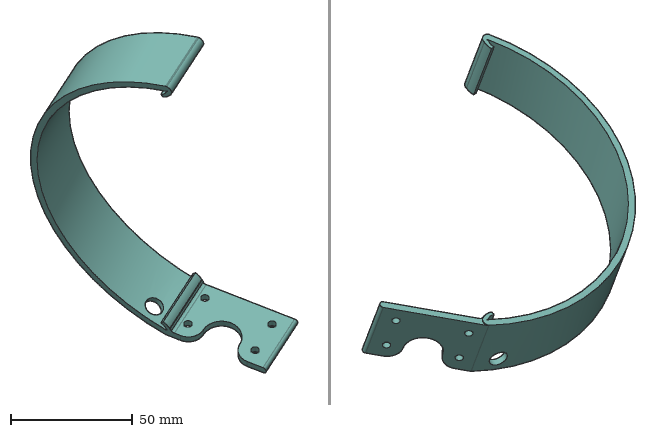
import cadquery as cq
import math

height = 161.8
band_width = 29.5
strap_thickness = 3.0
strap_end_x = 62.6

mid_z = height / 2
outer_radius = (strap_end_x**2 + mid_z**2) / (2 * strap_end_x)
inner_radius = outer_radius - strap_thickness
end_angle = math.asin(mid_z / outer_radius)
inner_end_x = outer_radius - inner_radius * math.cos(end_angle)
inner_end_rise = inner_radius * math.sin(end_angle)

hook_crest_x = 63.1
hook_outer_mid = (65.4, 2.8)
hook_outer_low = (64.5, 4.9)
hook_outer_bend = (63.6, 6.1)
hook_outer_tip = (61.5, 7.8)
hook_inner_tip = (60.4, 6.5)
hook_inner_mid = (62.3, 4.9)
hook_inner_top = (62.8, 3.5)

plate_end_x = 109.0
plate_width = 29.1
plate_thickness = 3.2
plate_edge_fillet = 1.5
hook_foot_fillet = 2.1
fillet_sag = 1 - math.sqrt(0.5)

hole_diameter = 3.4
hole_spacing_x = 31.0
hole_spacing_y = 15.5
notch_x = 85.0
notch_radius = 8.4
shoulder_radius = 7.0

strap_hole_diameter = 8.0
strap_hole_y = 7.0
strap_hole_z = 3.2
drill_reach = 4.9


def half_strap():
    """Lower half of the strap with its hook, from mid height to the end face."""
    mid_angle = end_angle / 2

    def arc_point(radius, angle):
        return (outer_radius - radius * math.cos(angle), mid_z - radius * math.sin(angle))

    return (
        cq.Workplane("XZ")
        .moveTo(0, mid_z)
        .threePointArc(arc_point(outer_radius, mid_angle), (strap_end_x, 0))
        .lineTo(hook_crest_x, 0)
        .threePointArc(hook_outer_mid, hook_outer_low)
        .threePointArc(hook_outer_bend, hook_outer_tip)
        .lineTo(*hook_inner_tip)
        .threePointArc(hook_inner_mid, hook_inner_top)
        .lineTo(inner_end_x, mid_z - inner_end_rise)
        .threePointArc(arc_point(inner_radius, mid_angle), (strap_thickness, mid_z))
        .close()
        .extrude(-band_width)
    )


def plate():
    """Flat plate with a rounded far end and a fillet up to the lower hook."""
    slab_length = plate_end_x - strap_end_x
    slab = (
        cq.Workplane("XY")
        .box(slab_length, plate_width, plate_thickness, centered=False)
        .edges(">X and |Y")
        .fillet(plate_edge_fillet)
        .translate((strap_end_x, 0, 0))
    )
    foot_x = hook_outer_low[0]
    foot = (
        cq.Workplane("XZ")
        .moveTo(foot_x, plate_thickness)
        .lineTo(foot_x + hook_foot_fillet, plate_thickness)
        .threePointArc(
            (foot_x + hook_foot_fillet * fillet_sag, plate_thickness + hook_foot_fillet * fillet_sag),
            (foot_x, plate_thickness + hook_foot_fillet),
        )
        .close()
        .extrude(-plate_width)
    )
    return slab.union(foot)


def notch():
    """Round notch in the front edge, flaring out through convex shoulders."""
    shoulder_offset = notch_radius + shoulder_radius
    sag = shoulder_radius * math.sqrt(0.5)
    return (
        cq.Workplane("XY")
        .moveTo(notch_x - shoulder_offset, 0)
        .threePointArc(
            (notch_x - shoulder_offset + sag, shoulder_radius - sag),
            (notch_x - notch_radius, shoulder_radius),
        )
        .threePointArc(
            (notch_x, shoulder_radius + notch_radius),
            (notch_x + notch_radius, shoulder_radius),
        )
        .threePointArc(
            (notch_x + shoulder_offset - sag, shoulder_radius - sag),
            (notch_x + shoulder_offset, 0),
        )
        .close()
        .extrude(plate_thickness)
    )


def plate_holes():
    return (
        cq.Workplane("XY")
        .center(notch_x, shoulder_radius + hole_spacing_y / 2)
        .rect(hole_spacing_x, hole_spacing_y, forConstruction=True)
        .vertices()
        .circle(hole_diameter / 2)
        .extrude(plate_thickness)
    )


def strap_hole():
    drop = mid_z - strap_hole_z
    run = math.sqrt(outer_radius**2 - drop**2)
    direction = cq.Vector(run, 0, drop).normalized()
    center = cq.Vector(outer_radius - run, strap_hole_y, strap_hole_z)
    return cq.Solid.makeCylinder(
        strap_hole_diameter / 2, 2 * drill_reach, center - direction * drill_reach, direction
    )


lower_half = half_strap()
upper_half = lower_half.mirror("XY", (0, 0, mid_z))

result = (
    lower_half
    .union(upper_half)
    .union(plate())
    .cut(notch())
    .cut(plate_holes())
    .cut(strap_hole())
)